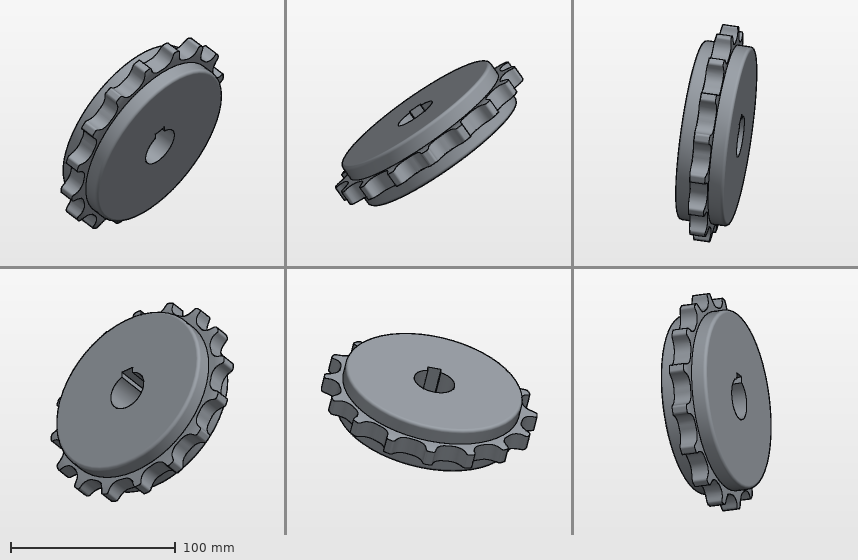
import cadquery as cq
import math


hub_width = 30.0
hub_radius = 55.0
hub_edge_radius = 2.0

bore_radius = 12.5
keyway_width = 8.0
keyway_top = 15.7

tooth_count = 16
plate_thickness = 10.8
tip_radius = 66.0
tip_corner_radius = 1.6
root_radius = 57.6
seat_radius = 7.9
seat_angle = 9.6
flank_start_height = 63.1

taper_start_radius = 59.8
tip_thickness = 9.2

tooth_pitch_angle = 360 / tooth_count


def polar(radius, angle):
    """(y, z) point at a radius, with the angle in degrees from +Z towards +Y."""
    return radius * math.sin(math.radians(angle)), radius * math.cos(math.radians(angle))


def turned(point, angle):
    """Turn a (y, z) point about the axis, in degrees from +Z towards +Y."""
    y, z = point
    return polar(math.hypot(y, z), math.degrees(math.atan2(y, z)) + angle)


def mirrored(point):
    """Mirror a (y, z) point across the tooth centre line."""
    y, z = point
    return -y, z


def solve_tooth_side():
    """Points down the +Y side of the tooth that points along +Z."""
    seat_y, seat_z = polar(root_radius + seat_radius, seat_angle)
    lean = math.asin((seat_z - flank_start_height) / seat_radius)
    flank_start = (seat_y - seat_radius * math.cos(lean), flank_start_height)

    run_y, run_z = -math.sin(lean), math.cos(lean)
    along = flank_start[0] * run_y + flank_start[1] * run_z
    gap = tip_radius**2 - math.hypot(*flank_start)**2
    flank_length = math.sqrt(along**2 + gap) - along
    tip_corner = (flank_start[0] + flank_length * run_y, flank_start[1] + flank_length * run_z)

    start_direction = -math.pi / 2 - lean
    end_direction = math.radians(seat_angle) - math.pi
    middle_direction = (start_direction + end_direction) / 2
    seat_middle = (
        seat_y + seat_radius * math.sin(middle_direction),
        seat_z + seat_radius * math.cos(middle_direction),
    )
    return tip_corner, flank_start, seat_middle, polar(root_radius, seat_angle)


def make_toothed_blank():
    """Flat plate with the full tooth outline and rounded tip corners."""
    tip_corner, flank_start, seat_middle, seat_end = solve_tooth_side()
    outline = cq.Workplane("YZ").moveTo(*mirrored(seat_end))
    for tooth in range(tooth_count):
        angle = tooth * tooth_pitch_angle
        outline = (
            outline
            .threePointArc(turned(mirrored(seat_middle), angle), turned(mirrored(flank_start), angle))
            .lineTo(*turned(mirrored(tip_corner), angle))
            .threePointArc(polar(tip_radius, angle), turned(tip_corner, angle))
            .lineTo(*turned(flank_start, angle))
            .threePointArc(turned(seat_middle, angle), turned(seat_end, angle))
        )
        next_angle = angle + tooth_pitch_angle
        gap_middle = polar(root_radius, angle + tooth_pitch_angle / 2)
        outline = outline.threePointArc(gap_middle, turned(mirrored(seat_end), next_angle))
    blank = outline.close().extrude(plate_thickness / 2, both=True)

    ring_wall = 0.3
    corner_ring = (
        cq.Workplane("YZ")
        .circle(tip_radius + ring_wall)
        .circle(tip_radius - ring_wall)
        .extrude(plate_thickness, both=True)
        .val()
    )
    corners = [edge for edge in blank.edges("|X").vals() if corner_ring.isInside(edge.Center())]
    return blank.newObject(corners).fillet(tip_corner_radius)


def make_tooth_envelope():
    """Disc whose sides curve inwards from the taper start to the tip."""
    taper_height = tip_radius - taper_start_radius
    taper_depth = (plate_thickness - tip_thickness) / 2
    arc_radius = (taper_height**2 + taper_depth**2) / (2 * taper_depth)
    half_angle = math.asin(taper_height / arc_radius) / 2
    side = plate_thickness / 2
    middle_x = side - arc_radius * (1 - math.cos(half_angle))
    middle_radius = taper_start_radius + arc_radius * math.sin(half_angle)
    return (
        cq.Workplane("XY")
        .moveTo(-side, 0)
        .lineTo(-side, taper_start_radius)
        .threePointArc((-middle_x, middle_radius), (-tip_thickness / 2, tip_radius))
        .lineTo(tip_thickness / 2, tip_radius)
        .threePointArc((middle_x, middle_radius), (side, taper_start_radius))
        .lineTo(side, 0)
        .close()
        .revolve(360, (0, 0, 0), (1, 0, 0))
    )


def make_hub():
    """Plain drum with rounded rims."""
    drum = cq.Workplane("YZ").circle(hub_radius).extrude(hub_width / 2, both=True)
    return drum.faces("<X or >X").edges().fillet(hub_edge_radius)


def make_keyed_bore():
    """Through bore with a keyway on the +Z side."""
    bore = cq.Workplane("YZ").circle(bore_radius).extrude(hub_width, both=True)
    keyway = (
        cq.Workplane("YZ")
        .center(0, keyway_top / 2)
        .rect(keyway_width, keyway_top)
        .extrude(hub_width, both=True)
    )
    return bore.union(keyway)


toothed_plate = make_toothed_blank().intersect(make_tooth_envelope())
result = make_hub().union(toothed_plate).cut(make_keyed_bore())